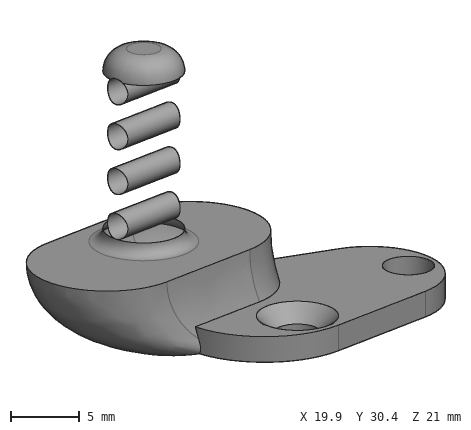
import cadquery as cq
import math

total_width = 19.93
total_length = 30.38
total_height = 21.0

foot_height = 6.0
top_radius = 5.9
top_length = 20.72
bottom_left_x = 3.07
bottom_right_x = 13.35
bottom_start_y = 5.23
bottom_end_y = 20.85
left_roundness = 0.8
start_roundness = 0.95
section_steps = 6

plate_thickness = 2.0
far_radius = 5.5
near_radius = 7.3
near_center_y = 15.5
slant_angle = 24.0
slant_length = 8.5

plain_hole_diameter = 3.8
plain_hole_center = (15.45, 27.92)
screw_hole_diameter = 3.4
screw_head_diameter = 6.0
screw_hole_center = (16.45, 14.9)
countersink_angle = 90.0

post_diameter = 6.0
post_center = (4.95, 10.88)
post_top_radius = 1.73
post_root_radius = 1.0
cross_hole_diameter = 2.0
cross_hole_count = 4
cross_hole_pitch = 3.5
first_cross_hole_z = 8.0


def blend(start, end, fraction):
    return start + (end - start) * fraction


def arc_fraction(drop, roundness):
    """Inward travel of an elliptic arc that starts vertical, from 0 at drop 0 to 1 at drop 1."""
    travel = 1 - math.sqrt(1 - (roundness * drop) ** 2)
    return travel / (1 - math.sqrt(1 - roundness**2))


def make_foot():
    """Smooth loft whose sides leave the top face vertically and curve in below."""
    foot = cq.Workplane("XY")
    previous_z = 0.0
    for step in range(section_steps + 1):
        drop = 1 - step / section_steps
        z = foot_height * (1 - drop)
        left_x = blend(0, bottom_left_x, arc_fraction(drop, left_roundness))
        right_x = blend(2 * top_radius, bottom_right_x, drop**2)
        radius = (right_x - left_x) / 2
        center_x = (right_x + left_x) / 2
        start_y = blend(0, bottom_start_y, arc_fraction(drop, start_roundness)) + radius
        end_y = blend(top_length, bottom_end_y, drop**2) - radius
        foot = (
            foot.workplane(offset=z - previous_z)
            .moveTo(center_x + radius, start_y)
            .lineTo(center_x + radius, end_y)
            .threePointArc((center_x, end_y + radius), (center_x - radius, end_y))
            .lineTo(center_x - radius, start_y)
            .threePointArc((center_x, start_y - radius), (center_x + radius, start_y))
            .close()
        )
        previous_z = z
    return foot.loft(combine=True)


def make_plate():
    """Flat plate with two rounded ends; its left edge runs into the foot."""
    slant = math.radians(slant_angle)
    far_x = total_width - far_radius
    far_y = total_length - far_radius
    near_x = total_width - near_radius
    near_bottom_y = near_center_y - near_radius
    diagonal = near_radius * math.sqrt(0.5)
    tangent_x = far_x - far_radius * math.cos(slant)
    tangent_y = far_y + far_radius * math.sin(slant)
    slant_end_x = tangent_x - slant_length * math.sin(slant)
    slant_end_y = tangent_y - slant_length * math.cos(slant)
    inner_x = (bottom_left_x + bottom_right_x) / 2
    plate = (
        cq.Workplane("XY")
        .moveTo(near_x, near_bottom_y)
        .threePointArc((near_x + diagonal, near_center_y - diagonal), (total_width, near_center_y))
        .lineTo(total_width, far_y)
        .threePointArc((far_x, total_length), (tangent_x, tangent_y))
        .lineTo(slant_end_x, slant_end_y)
        .lineTo(inner_x, near_center_y)
        .lineTo(inner_x, near_bottom_y)
        .close()
        .extrude(plate_thickness)
    )
    plate = (
        plate.faces(">Z")
        .workplane(origin=(0, 0, plate_thickness))
        .pushPoints([plain_hole_center])
        .hole(plain_hole_diameter)
    )
    return (
        plate.faces(">Z")
        .workplane(origin=(0, 0, plate_thickness))
        .pushPoints([screw_hole_center])
        .cskHole(screw_hole_diameter, screw_head_diameter, countersink_angle)
    )


def make_post():
    """Revolved pin with a rounded tip and a flared root, starting on the foot's top face."""
    radius = post_diameter / 2
    root_z = foot_height + post_root_radius
    tip_z = total_height - post_top_radius
    bulge = math.sqrt(0.5)
    root_middle = (
        radius + post_root_radius * (1 - bulge),
        foot_height + post_root_radius * (1 - bulge),
    )
    tip_middle = (
        radius - post_top_radius * (1 - bulge),
        tip_z + post_top_radius * bulge,
    )
    return (
        cq.Workplane("XZ")
        .moveTo(0, foot_height)
        .lineTo(radius + post_root_radius, foot_height)
        .threePointArc(root_middle, (radius, root_z))
        .lineTo(radius, tip_z)
        .threePointArc(tip_middle, (radius - post_top_radius, total_height))
        .lineTo(0, total_height)
        .close()
        .revolve(360, (0, 0), (0, 1))
        .translate((*post_center, 0))
    )


def make_cross_holes():
    """Row of drills running through the post along Y."""
    centers = [
        (post_center[0], first_cross_hole_z + index * cross_hole_pitch)
        for index in range(cross_hole_count)
    ]
    return (
        cq.Workplane("XZ", origin=(0, post_center[1], 0))
        .pushPoints(centers)
        .circle(cross_hole_diameter / 2)
        .extrude(post_diameter, both=True)
    )


post = make_post().cut(make_cross_holes())
result = make_foot().union(make_plate()).union(post)